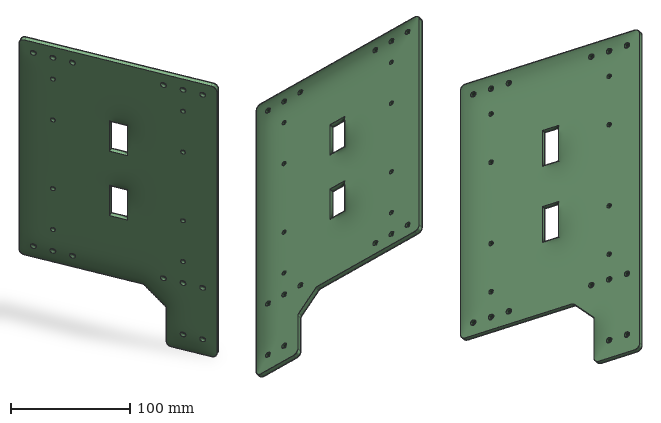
import cadquery as cq

width = 176.0
height = 315.0
thickness = 4.0
corner_radius = 5.0

panel_height = 250.0
panel_bottom = height - panel_height
panel_center_z = panel_bottom + panel_height / 2
leg_width = 45.0
leg_left = width - leg_width
notch_chamfer = 20.2
notch_radius = 3.0

mount_diameter = 5.0
mount_edge = 12.5
mount_group_span = 35.0
mount_pitch = mount_group_span / 2
leg_hole_z = 17.5

small_diameter = 4.0
small_row_offsets = (40.0, 87.5)

window_center_x = 88.5
window_width = 15.8
window_height = 35.0
window_offset = 37.5


def make_blank():
    """Extrude the stepped outline and round its vertices."""
    notch_corners = [
        (leg_left - notch_chamfer, panel_bottom),
        (leg_left, panel_bottom - notch_chamfer),
    ]
    outline = [
        (0, panel_bottom),
        *notch_corners,
        (leg_left, 0),
        (width, 0),
        (width, height),
        (0, height),
    ]
    blank = cq.Workplane("XZ").polyline(outline).close().extrude(-thickness)
    for x, z in outline:
        corner = cq.selectors.NearestToPointSelector((x, thickness / 2, z))
        radius = notch_radius if (x, z) in notch_corners else corner_radius
        blank = blank.edges("|Y").edges(corner).fillet(radius)
    return blank


def cut_holes(body, points, diameter):
    """Drill holes through the thickness at the given X, Z points."""
    drills = cq.Workplane("XZ").pushPoints(points).circle(diameter / 2).extrude(-thickness)
    return body.cut(drills)


def cut_windows(body):
    """Cut the two windows placed at equal distances above and below the panel mid-height."""
    points = [(window_center_x, panel_center_z + side * window_offset) for side in (-1, 1)]
    windows = cq.Workplane("XZ").pushPoints(points).rect(window_width, window_height)
    return body.cut(windows.extrude(-thickness))


left_columns = [mount_edge + i * mount_pitch for i in range(3)]
right_columns = [width - x for x in left_columns]
mount_rows = (panel_bottom + mount_edge, height - mount_edge)
mount_points = [(x, z) for x in left_columns + right_columns for z in mount_rows]
leg_points = [(x, leg_hole_z) for x in right_columns[:2]]
small_points = [
    (x, panel_center_z + side * offset)
    for x in (left_columns[1], right_columns[1])
    for offset in small_row_offsets
    for side in (-1, 1)
]

result = make_blank()
result = cut_holes(result, mount_points + leg_points, mount_diameter)
result = cut_holes(result, small_points, small_diameter)
result = cut_windows(result)